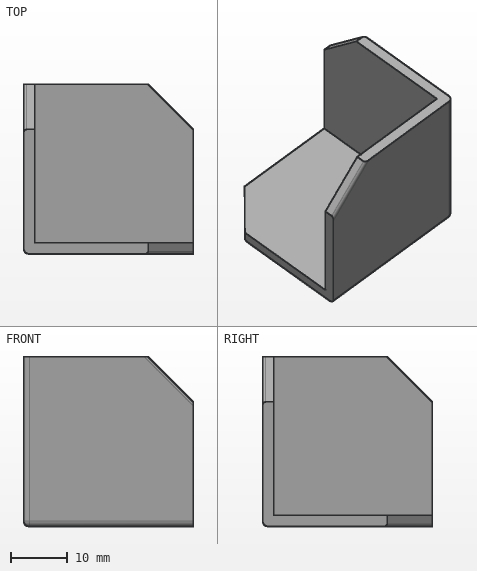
import cadquery as cq

size = 30.0
wall = 2.0
corner_cut = 8.0
edge_radius = 1.0
cut_edge_radius = 0.5

cut_depths = {"XY": wall, "XZ": -wall, "YZ": wall}


def corner_shell():
    """Three mutually perpendicular plates whose outer faces meet at the origin."""
    cube = cq.Workplane("XY").box(size, size, size, centered=False)
    cavity = cube.translate((wall, wall, wall))
    return cube.cut(cavity)


def corner_cutter(plane, depth):
    """Triangular prism over the free corner of the plate lying on the plane."""
    near = size - corner_cut
    return (
        cq.Workplane(plane)
        .polyline([(near, size), (size, size), (size, near)])
        .close()
        .extrude(depth)
    )


def round_edges_at(body, points, radius):
    """Fillet the edges whose midpoints lie nearest to the given points."""
    edges = [body.edges(cq.selectors.NearestToPointSelector(point)).val() for point in points]
    return body.newObject(edges).fillet(radius)


def round_outer_edges(body):
    """Round the three edges along the axes, blending them at the origin corner."""
    middle = size / 2
    return round_edges_at(body, [(middle, 0, 0), (0, middle, 0), (0, 0, middle)], edge_radius)


def round_cut_edges(body):
    """Round the outer edge of the 45 degree cut on each plate."""
    middle = size - corner_cut / 2
    points = [(middle, middle, 0), (middle, 0, middle), (0, middle, middle)]
    return round_edges_at(body, points, cut_edge_radius)


body = corner_shell()
for plane, depth in cut_depths.items():
    body = body.cut(corner_cutter(plane, depth))
body = round_outer_edges(body)
result = round_cut_edges(body)